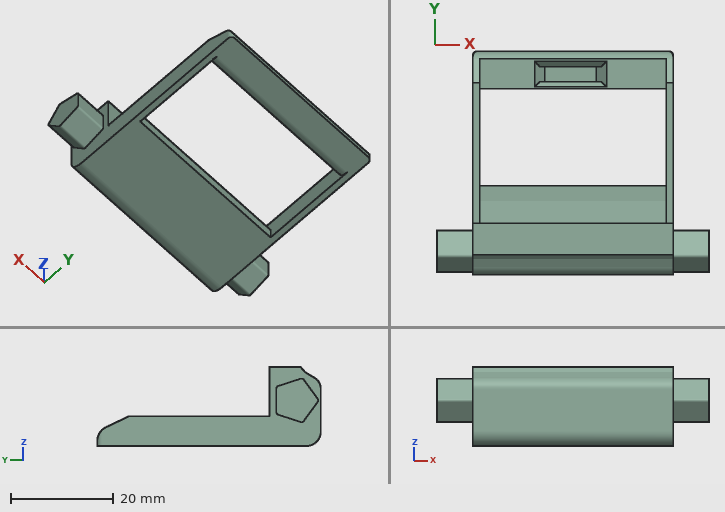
import cadquery as cq
import math

pin_span = 53.25
body_width = 39.2
body_length = 43.8
block_height = 15.5
block_depth = 10.05
arm_height = 5.85
arm_width = 1.4
opening_width = body_width - 2 * arm_width

top_flat_front = 4.0
bevel_break_y = 3.1
bevel_break_z = 14.5
front_curve_y = 1.55
front_curve_z = 13.55
front_face_top = 11.0
front_curve_mid_y = 0.4
front_curve_mid_z = 12.55
bottom_radius = 2.9

tail_slope_y = 37.55
tail_break_y = 42.25
tail_break_z = 3.6
tail_mid_y = 43.3
tail_mid_z = 2.55
tail_face_top = 1.05
tail_corner_radius = 0.95
bar_top = 2.4
bar_front = 36.4
bar_bottom_radius = 4.0 / 2

ledge_back = 17.45
ledge_slope_end = 14.45
ledge_height = 3.0
ledge_slope_angle = 6.0

recess_length = 14.05
recess_width = 5.0
recess_center_x = -0.5
recess_center_y = 39.25
recess_depth = 1.95
recess_taper_depth = 1.0

pin_radius = 4.6
pin_edge_radius = 0.55
pin_center_y = 5.0
pin_center_z = 8.95
pin_sides = 5


def extrude_x(profile, width):
    """Extrude a YZ profile symmetrically about X = 0."""
    return profile.extrude(width / 2, both=True)


def make_body():
    """Full-width side profile, with the upright rear corners rounded."""
    profile = (
        cq.Workplane("YZ")
        .moveTo(bottom_radius, 0)
        .lineTo(body_length, 0)
        .lineTo(body_length, tail_face_top)
        .threePointArc((tail_mid_y, tail_mid_z), (tail_break_y, tail_break_z))
        .lineTo(tail_slope_y, arm_height)
        .lineTo(block_depth, arm_height)
        .lineTo(block_depth, block_height)
        .lineTo(top_flat_front, block_height)
        .lineTo(bevel_break_y, bevel_break_z)
        .lineTo(front_curve_y, front_curve_z)
        .threePointArc((front_curve_mid_y, front_curve_mid_z), (0, front_face_top))
        .lineTo(0, bottom_radius)
        .radiusArc((bottom_radius, 0), -bottom_radius)
        .close()
    )
    corner_trim = (
        cq.Workplane("XY")
        .rect(body_width, 2 * body_length)
        .extrude(block_height)
        .edges("|Z and >Y")
        .fillet(tail_corner_radius)
    )
    return extrude_x(profile, body_width).intersect(corner_trim)


def make_opening():
    """Space between the arms, above the ledge and cross bar and through the middle."""
    ledge_slope_rise = (ledge_slope_end - block_depth) * math.tan(math.radians(ledge_slope_angle))
    profile = (
        cq.Workplane("YZ")
        .moveTo(block_depth, ledge_height + ledge_slope_rise)
        .lineTo(ledge_slope_end, ledge_height)
        .lineTo(ledge_back, ledge_height)
        .lineTo(ledge_back, 0)
        .lineTo(bar_front + bar_bottom_radius, 0)
        .radiusArc((bar_front, bar_bottom_radius), bar_bottom_radius)
        .lineTo(bar_front, bar_top)
        .lineTo(tail_break_y, bar_top)
        .lineTo(tail_break_y, block_height)
        .lineTo(block_depth, block_height)
        .close()
    )
    return extrude_x(profile, opening_width)


def make_recess():
    """45 degree tapered pocket whose front and back walls turn upright part way down."""
    taper = (
        cq.Workplane("XY", origin=(recess_center_x, recess_center_y, bar_top))
        .rect(recess_length, recess_width)
        .extrude(-recess_taper_depth, taper=45)
    )
    floor_half = recess_length / 2 - recess_depth
    mid_half = recess_length / 2 - recess_taper_depth
    lower = (
        cq.Workplane("XZ", origin=(recess_center_x, recess_center_y, bar_top))
        .moveTo(-mid_half, -recess_taper_depth)
        .lineTo(mid_half, -recess_taper_depth)
        .lineTo(floor_half, -recess_depth)
        .lineTo(-floor_half, -recess_depth)
        .close()
        .extrude(recess_width / 2 - recess_taper_depth, both=True)
    )
    return taper.union(lower)


def make_pins():
    """One pentagonal bar through the block, with a corner pointing forward."""
    corners = []
    for i in range(pin_sides):
        angle = math.pi + 2 * math.pi * i / pin_sides
        corners.append((
            pin_center_y + pin_radius * math.cos(angle),
            pin_center_z + pin_radius * math.sin(angle),
        ))
    pentagon = cq.Workplane("YZ").polyline(corners).close()
    return extrude_x(pentagon, pin_span).edges("|X").fillet(pin_edge_radius)


result = make_body().cut(make_opening()).cut(make_recess()).union(make_pins())